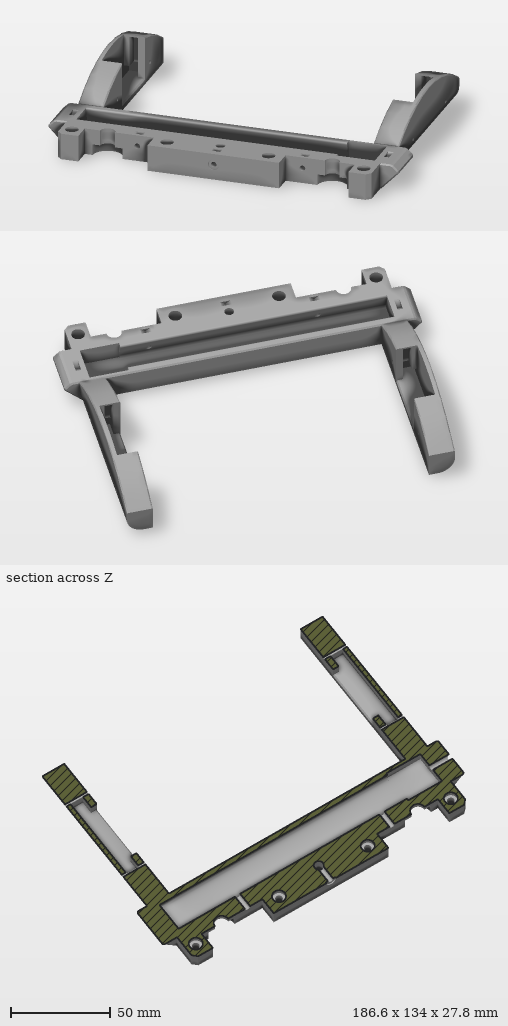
import cadquery as cq
import math

BAR_HEIGHT = 14.0
BAR_FRONT_Y = 15.5
BAR_BACK_Y = 39.8
BAR_HALF_LENGTH = 93.3
BAR_HALF_BOTTOM = 84.0
BAR_HALF_TOP = 90.0
TIP_LOW_Z = 9.5
TIP_HIGH_Z = 10.8
BAR_EDGE_CHAMFER = 0.7

FOOT_OUTER_X = 83.6
FOOT_INNER_X = 72.0
FOOT_CHAMFER = 2.5
RECESS_Y = 10.3
CENTRE_BLOCK_HALF = 35.1

CHANNEL_Y = 28.0
CHANNEL_START_X = -79.9
CHANNEL_END_X = 59.4
POCKET_END_X = 79.9
POCKET_HALF_WIDTH = 9.7
CHANNEL_FLOOR_Z = 3.7
CHANNEL_WALL_TILT = 15.0
CHANNEL_LIP_RADIUS = 1.0
CHANNEL_FOOT_RADIUS = 1.3

FOOT_SCREW_X = 77.8
BLOCK_SCREW_X = 27.0
SCREW_Y = 7.1
SCREW_DIAMETER = 4.0
SCREW_BORE = 7.0
SCREW_SEAT_Z = 5.8

RELIEF_X = 60.0
RELIEF_DIAMETER = 7.8
RELIEF_BASE_DIAMETER = 15.9
RELIEF_BASE_HEIGHT = 5.8

WIRE_DIAMETER = 3.0
WIRE_Z = 8.0
WIRE_RING_DIAMETER = 5.8
WIRE_RING_DEPTH = 0.5
FRONT_WIRE_X = 44.0
CENTRE_HOLE_DIAMETER = 4.9
CENTRE_HOLE_Y = 11.2
NOTCH_SLOPE = 33.0
NOTCH_WIDTH = 2.8
FRONT_NOTCH_LENGTH = 5.2
FRONT_NOTCH_Y = 13.5
CENTRE_NOTCH_Y = 5.2
END_NOTCH_LENGTH = 7.1
END_NOTCH_X = 84.0

ARM_OUTER_X = 85.7
ARM_INNER_X = 72.0
ARM_END_Y = 134.0
ARM_PEAK_Z = 27.8
ARM_BOTTOM_RADIUS = 9.0
ARM_TOP_FILLET = 0.7
ARM_FLOOR_Z = 3.2
ARM_SILL_CHAMFER = 0.7
ARM_WINDOW_WALL = 2.6
ARM_SLOT_INNER_X = 75.6
ARM_SLOT_OUTER_X = 80.3
ARM_SLOT_REACH = 7.5
ARM_ROOF = 1.0
ARM_WINDOW_NEAR_Y = 69.0
ARM_WINDOW_FAR_Y = 104.5
ARM_PIN_DIAMETER = 2.0
ARM_PIN_YS = (61.6, 112.7)


def box(x0, x1, y0, y1, z0, z1):
    """Axis-aligned block between two opposite corners."""
    return cq.Workplane("XY").box(x1 - x0, y1 - y0, z1 - z0, centered=False).translate((x0, y0, z0))


def prism_along_x(points, x0, x1):
    """Closed (y, z) outline extruded from x0 to x1."""
    return cq.Workplane("YZ").polyline(points).close().extrude(x1 - x0).translate((x0, 0, 0))


def prism_along_y(points, y0, y1):
    """Closed (x, z) outline extruded from y0 to y1."""
    return cq.Workplane("XZ").polyline(points).close().extrude(y0 - y1).translate((0, y0, 0))


def rod_x(diameter, y, z, x0, x1):
    return cq.Workplane("YZ").center(y, z).circle(diameter / 2).extrude(x1 - x0).translate((x0, 0, 0))


def rod_y(diameter, x, z, y0, y1):
    return cq.Workplane("XZ").center(x, z).circle(diameter / 2).extrude(y0 - y1).translate((0, y0, 0))


def rod_z(diameter, x, y, z0, z1):
    return cq.Workplane("XY").center(x, y).circle(diameter / 2).extrude(z1 - z0).translate((0, 0, z0))


def both_sides(points):
    """Right-hand outline followed by its mirror image in reverse order."""
    return points + [(-u, v) for u, v in reversed(points)]


def bar():
    section = both_sides([
        (BAR_HALF_BOTTOM, 0),
        (BAR_HALF_LENGTH, TIP_LOW_Z),
        (BAR_HALF_LENGTH, TIP_HIGH_Z),
        (BAR_HALF_TOP, BAR_HEIGHT),
    ])
    solid = prism_along_y(section, BAR_FRONT_Y, BAR_BACK_Y)
    solid = solid.edges("|Y and >Z").chamfer(BAR_EDGE_CHAMFER)
    return solid.faces("<Y or >Y").edges("not <Z").chamfer(BAR_EDGE_CHAMFER)


def front_blocks():
    """Feet, recessed wall and centre block, overlapping the bar past its chamfer."""
    outline = both_sides([
        (CENTRE_BLOCK_HALF, 0),
        (CENTRE_BLOCK_HALF, RECESS_Y),
        (FOOT_INNER_X, RECESS_Y),
        (FOOT_INNER_X, 0),
        (FOOT_OUTER_X - FOOT_CHAMFER, 0),
        (FOOT_OUTER_X, FOOT_CHAMFER),
        (FOOT_OUTER_X, BAR_FRONT_Y + BAR_EDGE_CHAMFER),
    ])
    return cq.Workplane("XY").polyline(outline).close().extrude(BAR_HEIGHT)


def cut_channel(solid):
    """Dovetail slot with rounded lips and foot corners, opening into a wider pocket at its +X end."""
    undercut = (BAR_HEIGHT - CHANNEL_FLOOR_Z) * math.tan(math.radians(CHANNEL_WALL_TILT))
    mouth_half = POCKET_HALF_WIDTH - undercut
    section = [(CHANNEL_Y + across, z) for across, z in both_sides([
        (POCKET_HALF_WIDTH, CHANNEL_FLOOR_Z),
        (mouth_half, BAR_HEIGHT),
    ])]
    slide = prism_along_x(section, CHANNEL_START_X, CHANNEL_END_X)
    slide = slide.edges("|X and <Z").fillet(CHANNEL_FOOT_RADIUS)
    pocket = box(
        CHANNEL_END_X, POCKET_END_X,
        CHANNEL_Y - POCKET_HALF_WIDTH, CHANNEL_Y + POCKET_HALF_WIDTH,
        CHANNEL_FLOOR_Z, BAR_HEIGHT,
    )
    solid = solid.cut(slide.union(pocket))
    middle_x = (CHANNEL_START_X + CHANNEL_END_X) / 2
    for lip_y in (CHANNEL_Y - mouth_half, CHANNEL_Y + mouth_half):
        lip = cq.selectors.NearestToPointSelector((middle_x, lip_y, BAR_HEIGHT))
        solid = solid.edges(lip).fillet(CHANNEL_LIP_RADIUS)
    return solid


def screw_hole(x):
    through = rod_z(SCREW_DIAMETER, x, SCREW_Y, 0, BAR_HEIGHT)
    return through.union(rod_z(SCREW_BORE, x, SCREW_Y, SCREW_SEAT_Z, BAR_HEIGHT))


def relief(x):
    base = rod_z(RELIEF_BASE_DIAMETER, x, RECESS_Y, 0, RELIEF_BASE_HEIGHT)
    return base.union(rod_z(RELIEF_DIAMETER, x, RECESS_Y, 0, BAR_HEIGHT))


def notch(length, centre):
    """V notch outline in the top face, as points (along, z)."""
    depth = length / 2 * math.tan(math.radians(NOTCH_SLOPE))
    return [
        (centre - length / 2, BAR_HEIGHT),
        (centre, BAR_HEIGHT - depth),
        (centre + length / 2, BAR_HEIGHT),
    ]


def cross_notch(x, y):
    """V notch whose length runs along X."""
    return prism_along_y(notch(FRONT_NOTCH_LENGTH, x), y - NOTCH_WIDTH / 2, y + NOTCH_WIDTH / 2)


def end_notch(x):
    """V notch whose length runs along Y."""
    return prism_along_x(notch(END_NOTCH_LENGTH, CHANNEL_Y), x - NOTCH_WIDTH / 2, x + NOTCH_WIDTH / 2)


def arch(x0, x1, y0, y1, base_z, drop):
    """Block under the arm's circular arch, with the arch surface lowered by drop."""
    half_span = (ARM_END_Y - BAR_BACK_Y) / 2
    rise = ARM_PEAK_Z - BAR_HEIGHT
    radius = (half_span**2 + rise**2) / (2 * rise)
    middle_y = (ARM_END_Y + BAR_BACK_Y) / 2
    disc = rod_x(2 * (radius - drop), middle_y, ARM_PEAK_Z - radius, x0, x1)
    return disc.intersect(box(x0, x1, y0, y1, base_z, ARM_PEAK_Z))


def arm_cavity():
    """Window open to the inner side, running on into a narrow hidden slot at both ends."""
    window_wall_x = ARM_OUTER_X - ARM_WINDOW_WALL
    window = box(ARM_INNER_X, window_wall_x, ARM_WINDOW_NEAR_Y, ARM_WINDOW_FAR_Y, ARM_FLOOR_Z, ARM_PEAK_Z)
    near_y = ARM_WINDOW_NEAR_Y - ARM_SLOT_REACH
    far_y = ARM_WINDOW_FAR_Y + ARM_SLOT_REACH
    slot = arch(ARM_SLOT_INNER_X, ARM_SLOT_OUTER_X, near_y, far_y, ARM_FLOOR_Z, ARM_ROOF)
    wide_foot = box(ARM_SLOT_INNER_X, window_wall_x, near_y, far_y, ARM_FLOOR_Z, ARM_BOTTOM_RADIUS)
    return window.union(slot).union(wide_foot)


def right_arm():
    solid = arch(ARM_INNER_X, ARM_OUTER_X, BAR_BACK_Y, ARM_END_Y, 0, 0)
    solid = solid.edges("|Y and >X and <Z").fillet(ARM_BOTTOM_RADIUS)
    solid = solid.edges("%CIRCLE").edges(cq.selectors.BoxSelector((0, 0, BAR_HEIGHT), (112, 149.3, 37.3)))
    solid = solid.fillet(ARM_TOP_FILLET)

    solid = solid.cut(arm_cavity())
    sill_y = (ARM_WINDOW_NEAR_Y + ARM_WINDOW_FAR_Y) / 2
    sill = cq.selectors.NearestToPointSelector((ARM_INNER_X, sill_y, ARM_FLOOR_Z))
    solid = solid.edges(sill).chamfer(ARM_SILL_CHAMFER)
    for y in ARM_PIN_YS:
        solid = solid.cut(rod_x(ARM_PIN_DIAMETER, y, ARM_BOTTOM_RADIUS, ARM_INNER_X, ARM_OUTER_X))
    return solid


body = bar().union(front_blocks())
body = cut_channel(body)

for side in (-1, 1):
    body = body.cut(screw_hole(side * FOOT_SCREW_X))
    body = body.cut(screw_hole(side * BLOCK_SCREW_X))
    body = body.cut(relief(side * RELIEF_X))
    body = body.cut(rod_y(WIRE_DIAMETER, side * FRONT_WIRE_X, WIRE_Z, RECESS_Y, CHANNEL_Y))
    body = body.cut(cross_notch(side * FRONT_WIRE_X, FRONT_NOTCH_Y))
    body = body.cut(end_notch(side * END_NOTCH_X))

body = body.cut(rod_z(CENTRE_HOLE_DIAMETER, 0, CENTRE_HOLE_Y, 0, BAR_HEIGHT))
body = body.cut(rod_y(WIRE_DIAMETER, 0, WIRE_Z, 0, CENTRE_HOLE_Y))
body = body.cut(rod_y(WIRE_RING_DIAMETER, 0, WIRE_Z, 0, WIRE_RING_DEPTH))
body = body.cut(cross_notch(0, CENTRE_NOTCH_Y))

body = body.cut(rod_x(WIRE_DIAMETER, CHANNEL_Y, WIRE_Z, POCKET_END_X, BAR_HALF_LENGTH))

arm = right_arm()
result = body.union(arm).union(arm.mirror("YZ"))